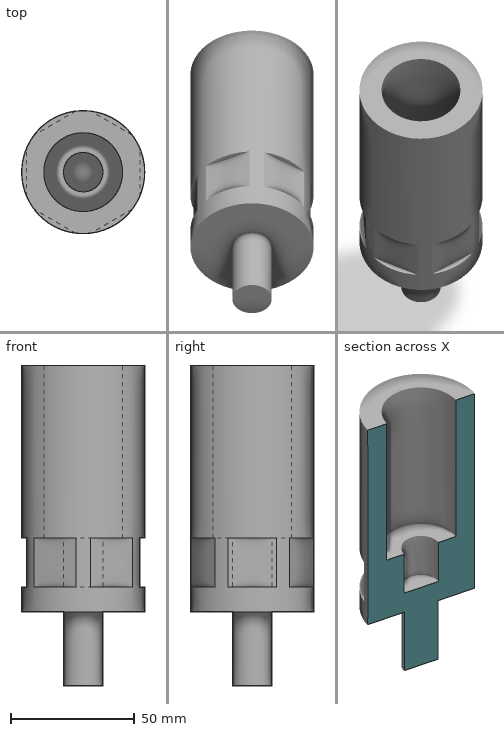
import cadquery as cq

body_diameter = 50.0
stud_diameter = 16.0
stud_length = 30.0
collar_height = 10.0
flat_height = 20.0
sleeve_height = 70.0

flat_count = 6
across_flats = 46.0

bore_diameter = 32.0
pilot_diameter = 16.0

body_bottom = stud_length
flat_bottom = body_bottom + collar_height
flat_top = flat_bottom + flat_height
body_top = flat_top + sleeve_height

bore_floor = flat_top
pilot_floor = flat_bottom


def cylinder(diameter, bottom, top):
    """Solid cylinder on the Z axis between two levels."""
    return cq.Workplane("XY").workplane(offset=bottom).circle(diameter / 2).extrude(top - bottom)


def wrench_flat_cutter():
    """Block that mills one wrench flat on the +X side of the body."""
    cutter_depth = body_diameter - across_flats
    return (
        cq.Workplane("XY")
        .box(cutter_depth, body_diameter, flat_height, centered=(False, True, False))
        .translate((across_flats / 2, 0, flat_bottom))
    )


result = cylinder(body_diameter, body_bottom, body_top)
result = result.union(cylinder(stud_diameter, 0, body_bottom))

for index in range(flat_count):
    angle = index * 360.0 / flat_count
    result = result.cut(wrench_flat_cutter().rotate((0, 0, 0), (0, 0, 1), angle))

result = result.cut(cylinder(bore_diameter, bore_floor, body_top))
result = result.cut(cylinder(pilot_diameter, pilot_floor, bore_floor))